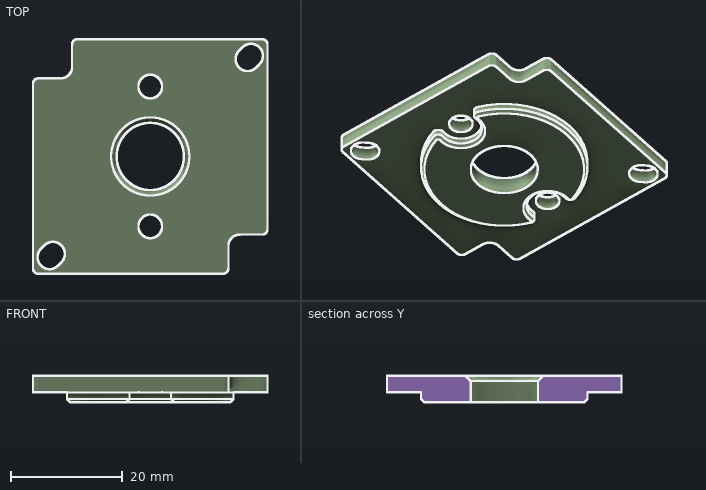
import cadquery as cq
import math

plate_side = 42.0
plate_thickness = 3.0
notch_side = 7.0
corner_radius = 1.0
notch_inner_radius = 2.0

boss_diameter = 29.8
boss_height = 1.8
boss_chamfer = 0.6
scallop_radius = 3.75
scallop_edge_radius = 1.0

bore_diameter = 12.0
bore_chamfer = 1.0

screw_hole_diameter = 4.2
screw_hole_offset = 12.5

mount_circle_radius = 25.05
mount_slot_width = 4.25
mount_slot_travel = 0.85
mount_slot_angle = 45.0

overall_height = plate_thickness + boss_height
screw_hole_centers = [(0, -screw_hole_offset), (0, screw_hole_offset)]


def edge_nearest(x, y, z):
    return cq.selectors.NearestToPointSelector((x, y, z))


def make_plate():
    half = plate_side / 2
    step = half - notch_side
    mid_height = plate_thickness / 2
    outline = [
        (-half, -half),
        (step, -half),
        (step, -step),
        (half, -step),
        (half, half),
        (-step, half),
        (-step, step),
        (-half, step),
    ]
    inner_corners = edge_nearest(step, -step, mid_height) + edge_nearest(-step, step, mid_height)
    upright = cq.selectors.ParallelDirSelector(cq.Vector(0, 0, 1))

    plate = cq.Workplane("XY").polyline(outline).close().extrude(plate_thickness)
    plate = plate.edges(upright - inner_corners).fillet(corner_radius)
    return plate.edges(inner_corners).fillet(notch_inner_radius)


def make_boss():
    boss_radius = boss_diameter / 2
    boss = cq.Workplane("XY").circle(boss_radius).extrude(-boss_height)
    scallops = cq.Workplane("XY").pushPoints(screw_hole_centers).circle(scallop_radius)
    boss = boss.cut(scallops.extrude(-boss_height))

    corner_y = (boss_radius**2 - scallop_radius**2 + screw_hole_offset**2) / (2 * screw_hole_offset)
    corner_x = math.sqrt(boss_radius**2 - corner_y**2)
    for x in (-corner_x, corner_x):
        for y in (-corner_y, corner_y):
            boss = boss.edges(edge_nearest(x, y, -boss_height / 2)).fillet(scallop_edge_radius)
    return boss.faces("<Z").edges().chamfer(boss_chamfer)


def cut_bore(body):
    bore = cq.Workplane("XY").workplane(offset=-boss_height).circle(bore_diameter / 2).extrude(overall_height)
    countersink = (
        cq.Workplane("XY")
        .workplane(offset=plate_thickness)
        .circle(bore_diameter / 2 + bore_chamfer)
        .workplane(offset=-bore_chamfer)
        .circle(bore_diameter / 2)
        .loft()
    )
    return body.cut(bore).cut(countersink)


def cut_screw_holes(body):
    holes = cq.Workplane("XY").pushPoints(screw_hole_centers).circle(screw_hole_diameter / 2)
    return body.cut(holes.extrude(plate_thickness))


def cut_mount_slots(body):
    offset = mount_circle_radius * math.cos(math.radians(mount_slot_angle))
    slots = (
        cq.Workplane("XY")
        .pushPoints([(-offset, -offset), (offset, offset)])
        .slot2D(mount_slot_width + mount_slot_travel, mount_slot_width, mount_slot_angle)
        .extrude(plate_thickness)
    )
    return body.cut(slots)


result = make_plate().union(make_boss())
result = cut_bore(result)
result = cut_screw_holes(result)
result = cut_mount_slots(result)